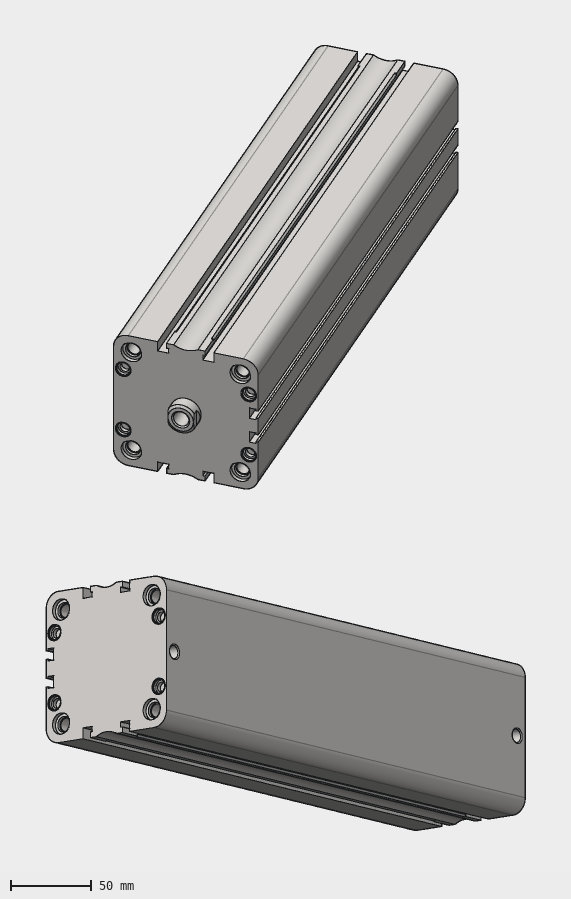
import cadquery as cq

total_length = 363.0
side = 95.5
corner_radius = 9.8
rod_length = 9.0
cap_length = 15.0

half_side = side / 2
rod_end_y = -total_length / 2
front_y = rod_end_y + rod_length
rear_y = total_length / 2
housing_length = rear_y - front_y

slot_outer_x = 18.5
slot_mouth_x = 12.7
slot_undercut_x = 11.3
slot_depth = 7.0
slot_lip = 3.5
lip_chamfer = 1.27

channel_half_width = 8.0
channel_depth = 2.0
channel_radius = (channel_half_width**2 + channel_depth**2) / (2 * channel_depth)

t_slot_offset = 8.7
t_slot_mouth = 5.5
t_slot_width = 7.5
t_slot_depth = 5.8
t_slot_lip = 1.5

mount_offset = 36.0
mount_diameter = 8.5
mount_recess_diameter = 13.5
mount_recess_depth = 3.0
mount_step_diameter = 9.8
mount_step_depth = 5.0

screw_x = 41.5
screw_z = 22.0
screw_rim_diameter = 10.0
screw_rim_depth = 0.7
screw_recess_diameter = 8.7
screw_recess_depth = 3.0
screw_hole_diameter = 6.0
screw_hole_depth = 5.8

port_from_end = 8.0
port_rim_diameter = 9.8
port_diameter = 8.5
port_depth = 8.0
air_hole_diameter = 5.0
air_hole_depth = 11.0

rod_diameter = 20.5
rod_face_diameter = 16.7
rod_bevel_length = 1.0
flat_width = 17.0
flat_length = 5.0
flat_runout = 1.8
rod_bore_diameter = 10.0
rod_bore_entry_diameter = 12.0
rod_bore_depth = 20.0


def along_y(diameter, start_y, end_y, x=0, z=0):
    """Round bar parallel to Y between two Y positions."""
    plane = cq.Plane(origin=(x, start_y, z), xDir=(1, 0, 0), normal=(0, 1, 0))
    return cq.Workplane(plane).circle(diameter / 2).extrude(end_y - start_y)


def block(x0, x1, y0, y1, z0, z1):
    """Box between opposite corners."""
    return cq.Workplane("XY").box(x1 - x0, y1 - y0, z1 - z0, centered=False).translate((x0, y0, z0))


def full_length_block(x0, x1, z0, z1):
    return block(x0, x1, front_y, rear_y, z0, z1)


def with_mirrors(shape, *planes):
    """The shape together with its mirror images in each plane."""
    for plane in planes:
        shape = shape.union(shape.mirror(plane))
    return shape


def make_housing():
    return full_length_block(-half_side, half_side, -half_side, half_side).edges("|Y").fillet(corner_radius)


def make_undercut_slots():
    mouth = full_length_block(slot_mouth_x, slot_outer_x, half_side - slot_depth, half_side)
    undercut = full_length_block(
        slot_undercut_x, slot_outer_x, half_side - slot_depth, half_side - slot_lip
    )
    bevel = (
        cq.Workplane("XZ", origin=(0, rear_y - cap_length, 0))
        .moveTo(slot_mouth_x - lip_chamfer, half_side)
        .lineTo(slot_mouth_x, half_side)
        .lineTo(slot_mouth_x, half_side - lip_chamfer)
        .close()
        .extrude(housing_length - 2 * cap_length)
    )
    return with_mirrors(mouth.union(undercut).union(bevel), "YZ", "XY")


def make_channels():
    axis_z = half_side - channel_depth + channel_radius
    return with_mirrors(along_y(2 * channel_radius, front_y, rear_y, z=axis_z), "XY")


def make_t_slots():
    floor_x = half_side - t_slot_depth
    mouth = full_length_block(
        floor_x, half_side, t_slot_offset - t_slot_mouth / 2, t_slot_offset + t_slot_mouth / 2
    )
    pocket = full_length_block(
        floor_x,
        half_side - t_slot_lip,
        t_slot_offset - t_slot_width / 2,
        t_slot_offset + t_slot_width / 2,
    )
    return with_mirrors(mouth.union(pocket), "XY")


def make_end_holes(x, z, steps):
    """Stepped hole, given as (diameter, depth) pairs, entering both end faces at one position."""
    hole = cq.Workplane("XY")
    for diameter, depth in steps:
        hole = hole.add(along_y(diameter, front_y, front_y + depth, x, z))
        hole = hole.add(along_y(diameter, rear_y - depth, rear_y, x, z))
    return hole.combine()


def make_mounting_holes():
    steps = [
        (mount_recess_diameter, mount_recess_depth),
        (mount_step_diameter, mount_step_depth),
        (mount_diameter, housing_length),
    ]
    return with_mirrors(make_end_holes(mount_offset, mount_offset, steps), "YZ", "XY")


def make_screw_holes():
    steps = [
        (screw_rim_diameter, screw_rim_depth),
        (screw_recess_diameter, screw_recess_depth),
        (screw_hole_diameter, screw_hole_depth),
    ]
    return with_mirrors(make_end_holes(screw_x, screw_z, steps), "YZ", "XY")


def make_port(y):
    face = cq.Workplane("YZ", origin=(-half_side, y, 0))
    rim_depth = (port_rim_diameter - port_diameter) / 2
    rim = face.circle(port_rim_diameter / 2).workplane(offset=rim_depth).circle(port_diameter / 2).loft()
    port = face.circle(port_diameter / 2).extrude(port_depth)
    return rim.union(port).union(face.circle(air_hole_diameter / 2).extrude(air_hole_depth))


def make_rod():
    rod_radius = rod_diameter / 2
    profile = [
        (0, rod_end_y),
        (rod_face_diameter / 2, rod_end_y),
        (rod_radius, rod_end_y + rod_bevel_length),
        (rod_radius, front_y),
        (0, front_y),
    ]
    rod = cq.Workplane("XY").polyline(profile).close().revolve(360, (0, 0), (0, 1))
    flat_y = rod_end_y + flat_length
    flat_profile = [
        (flat_width / 2, rod_end_y),
        (flat_width / 2, flat_y),
        (rod_radius, flat_y + flat_runout),
        (rod_radius, rod_end_y),
    ]
    flat = cq.Workplane("XY").polyline(flat_profile).close().extrude(rod_radius, both=True)
    return rod.cut(with_mirrors(flat, "YZ"))


def make_rod_bore():
    """Blind bore with a 45 degree countersunk mouth."""
    bore_radius = rod_bore_diameter / 2
    entry_radius = rod_bore_entry_diameter / 2
    profile = [
        (0, rod_end_y),
        (entry_radius, rod_end_y),
        (bore_radius, rod_end_y + entry_radius - bore_radius),
        (bore_radius, rod_end_y + rod_bore_depth),
        (0, rod_end_y + rod_bore_depth),
    ]
    return cq.Workplane("XY").polyline(profile).close().revolve(360, (0, 0), (0, 1))


result = (
    make_housing()
    .cut(make_undercut_slots())
    .cut(make_channels())
    .cut(make_t_slots())
    .cut(make_mounting_holes())
    .cut(make_screw_holes())
    .cut(make_port(front_y + port_from_end))
    .cut(make_port(rear_y - port_from_end))
    .union(make_rod())
    .cut(make_rod_bore())
)